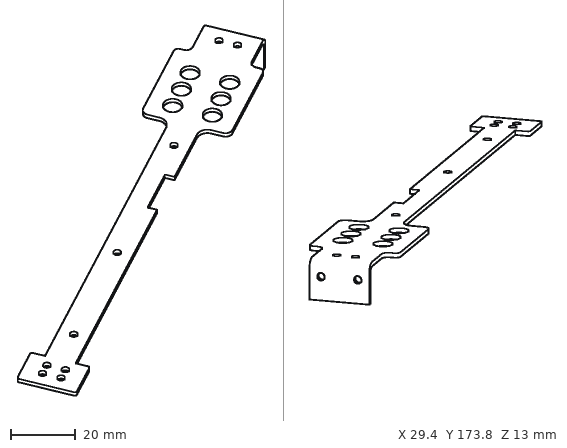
import cadquery as cq

length = 173.8
flange_height = 13.0
thickness = 1.5
bend_outer_radius = 3.0
bend_inner_radius = bend_outer_radius - thickness

end_width = 19.5
panel_width = 29.4
arm_width = 10.0
foot_top = 12.7
panel_bottom = 127.4
panel_top = 159.2
foot_radius = 0.7
panel_bottom_radius = 2.3
panel_top_radius = 1.5
neck_radius = 2.0
arm_radius = 3.5

notch_bottom = 87.5
notch_height = 16.0
notch_floor_x = 1.9

small_diameter = 2.5
large_diameter = 6.0
small_pair_spacing = 6.0
foot_rows = (4.9, 8.9)
neck_row = 166.8
arm_hole_places = (25.0, 64.8, 117.0)
large_column_spacing = 13.0
large_row_first = 134.0
large_row_step = 8.0
large_row_count = 3
flange_hole_spacing = 12.0
flange_hole_depth = 5.4


def plate(width, y_start, y_end):
    """Flat rectangle centred on X = 0, with its upper face at Z = 0."""
    return (
        cq.Workplane("XY")
        .box(width, y_end - y_start, thickness, centered=(True, False, False))
        .translate((0, y_start, -thickness))
    )


def round_corners(body, half_width, y, radius):
    """Fillet the two vertical edges at X = +/-half_width and the given Y."""
    for x in (-half_width, half_width):
        edge = cq.selectors.NearestToPointSelector((x, y, -thickness / 2))
        body = body.edges("|Z").edges(edge).fillet(radius)
    return body


def flat_body():
    """Foot, arm, panel and neck, up to the start of the bend."""
    body = (
        plate(end_width, 0, foot_top)
        .union(plate(arm_width, foot_top, panel_bottom))
        .union(plate(panel_width, panel_bottom, panel_top))
        .union(plate(end_width, panel_top, length - bend_outer_radius))
    )
    body = round_corners(body, end_width / 2, 0, foot_radius)
    body = round_corners(body, end_width / 2, foot_top, foot_radius)
    body = round_corners(body, panel_width / 2, panel_bottom, panel_bottom_radius)
    body = round_corners(body, panel_width / 2, panel_top, panel_top_radius)
    body = round_corners(body, arm_width / 2, panel_bottom, arm_radius)
    return round_corners(body, end_width / 2, panel_top, neck_radius)


def bent_flange():
    """Quarter-round bend and the flange hanging down from it."""
    bend_y = length - bend_outer_radius
    diagonal = 0.5 ** 0.5
    outer_mid = bend_outer_radius * diagonal
    inner_mid = bend_inner_radius * diagonal
    return (
        cq.Workplane("YZ", origin=(-end_width / 2, 0, 0))
        .moveTo(bend_y, 0)
        .threePointArc(
            (bend_y + outer_mid, outer_mid - bend_outer_radius),
            (length, -bend_outer_radius),
        )
        .lineTo(length, -flange_height)
        .lineTo(length - thickness, -flange_height)
        .lineTo(length - thickness, -bend_outer_radius)
        .threePointArc(
            (bend_y + inner_mid, inner_mid - bend_outer_radius),
            (bend_y, -thickness),
        )
        .close()
        .extrude(end_width)
    )


def vertical_holes(places, diameter):
    """Cutters through the flat plate at the given X, Y places."""
    return (
        cq.Workplane("XY")
        .pushPoints(places)
        .circle(diameter / 2)
        .extrude(-thickness)
    )


def pairs(spacing, rows):
    """Places of two columns symmetric about X = 0."""
    return [(side * spacing / 2, y) for side in (-1, 1) for y in rows]


result = flat_body().union(bent_flange())

notch_depth = arm_width / 2 - notch_floor_x
notch = plate(notch_depth, notch_bottom, notch_bottom + notch_height)
result = result.cut(notch.translate((notch_floor_x + notch_depth / 2, 0, 0)))

small_places = pairs(small_pair_spacing, foot_rows + (neck_row,))
small_places += [(0, y) for y in arm_hole_places]
large_rows = [large_row_first + i * large_row_step for i in range(large_row_count)]
result = result.cut(vertical_holes(small_places, small_diameter))
result = result.cut(vertical_holes(pairs(large_column_spacing, large_rows), large_diameter))

flange_holes = (
    cq.Workplane("XZ", origin=(0, length, 0))
    .pushPoints(pairs(flange_hole_spacing, (-flange_hole_depth,)))
    .circle(small_diameter / 2)
    .extrude(thickness)
)
result = result.cut(flange_holes)